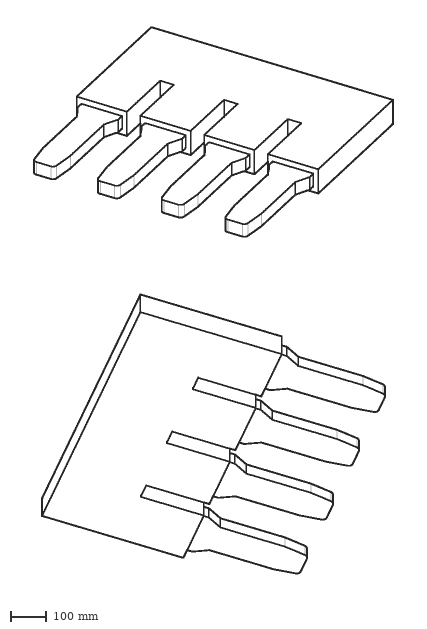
import cadquery as cq

body_width = 787.5
body_depth = 428.0
body_thickness = 81.0

tooth_count = 4
tooth_pitch = 208.0
slot_depth = 191.0
tooth_width = body_width - (tooth_count - 1) * tooth_pitch
slot_width = tooth_pitch - tooth_width

blade_thickness = 42.5
blade_length = 334.0
root_width = 132.0
neck_width = 88.0
tip_width = 69.0
shoulder_start = 21.0
shoulder_end = 64.5
taper_start = 259.0
tip_radius = 12.5


def make_body():
    """Plate with its tooth ends on Y = 0, centred on X and Z."""
    body = cq.Workplane("XY").box(
        body_width, body_depth, body_thickness, centered=(True, False, True)
    )
    slot = cq.Workplane("XY").box(
        slot_width, slot_depth, body_thickness, centered=(True, False, True)
    )
    for index in range(tooth_count - 1):
        slot_x = (index - (tooth_count - 2) / 2) * tooth_pitch
        body = body.cut(slot.translate((slot_x, 0, 0)))
    return body


def make_blade():
    """Symmetric blade with tapered shoulders and a narrowed, rounded tip."""
    half_profile = [
        (root_width / 2, 0),
        (root_width / 2, -shoulder_start),
        (neck_width / 2, -shoulder_end),
        (neck_width / 2, -taper_start),
        (tip_width / 2, -blade_length),
    ]
    mirrored = [(-x, y) for x, y in reversed(half_profile)]
    return (
        cq.Workplane("XY")
        .polyline(half_profile + mirrored)
        .close()
        .extrude(blade_thickness / 2, both=True)
        .faces("<Y")
        .edges("|Z")
        .fillet(tip_radius)
    )


result = make_body()
blade = make_blade()
for index in range(tooth_count):
    blade_x = (index - (tooth_count - 1) / 2) * tooth_pitch
    result = result.union(blade.translate((blade_x, 0, 0)))